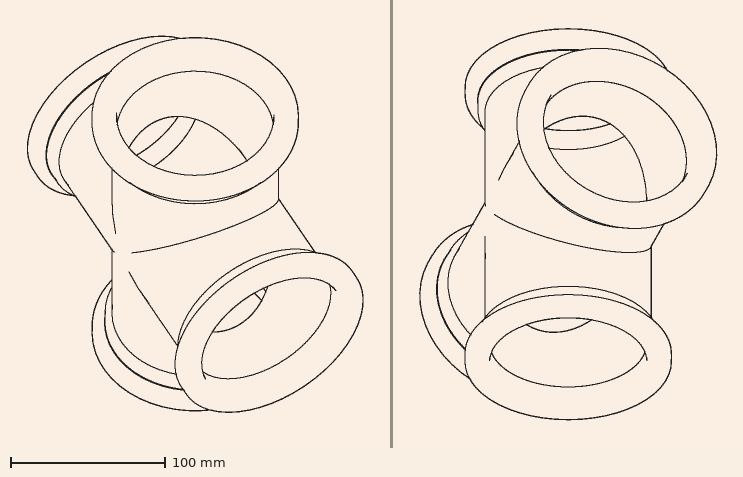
import cadquery as cq
import math

overall_length = 216.0
half_length = overall_length / 2

tube_radius = 108.0 / 2
bore_radius = 102.0 / 2

flange_radius = 134.0 / 2
collar_radius = 117.0 / 2
flange_length = 20.0
socket_depth = 15.1
cone_start_depth = 8.0
cone_angle = 20.0
cone_end_depth = cone_start_depth + (flange_radius - collar_radius) * math.tan(math.radians(cone_angle))
rim_fillet = 2.2
small_fillet = 0.5
edge_tolerance = 0.02

arm_angles = [0, 90, 180, 270]


def make_pipe(radius, length):
    """Cylinder along Z, centred on the origin."""
    return cq.Workplane("XY").circle(radius).extrude(length / 2, both=True)


def make_cross(radius, length):
    """Two equal cylinders crossing at the origin, along Z and X."""
    upright = make_pipe(radius, length)
    return upright.union(upright.rotate((0, 0, 0), (0, 1, 0), 90))


def make_tube_cross():
    """Four-way tube whose ends reach the flange shoulders."""
    tube_length = overall_length - 2 * socket_depth
    return make_cross(tube_radius, tube_length).cut(make_cross(bore_radius, overall_length))


def box_around_ring(radius, height):
    """Selector for every edge at a height that lies within a given radius."""
    return cq.selectors.BoxSelector(
        (-radius, -radius, height - edge_tolerance),
        (radius, radius, height + edge_tolerance),
        boundingbox=True,
    )


def edge_at(radius, height):
    """Selector for the circular edge of a given radius and height."""
    return cq.selectors.SubtractSelector(
        box_around_ring(radius + edge_tolerance, height),
        box_around_ring(radius - edge_tolerance, height),
    )


def make_flange():
    """Clamp flange at the +Z end: rim, conical back, collar and a socket for the tube."""
    face_height = half_length
    rim_corner_height = half_length - cone_start_depth
    cone_foot_height = half_length - cone_end_depth
    shoulder_height = half_length - socket_depth
    collar_end_height = half_length - flange_length
    flange = (
        cq.Workplane("XZ")
        .moveTo(bore_radius, face_height)
        .lineTo(flange_radius, face_height)
        .lineTo(flange_radius, rim_corner_height)
        .lineTo(collar_radius, cone_foot_height)
        .lineTo(collar_radius, collar_end_height)
        .lineTo(tube_radius, collar_end_height)
        .lineTo(tube_radius, shoulder_height)
        .lineTo(bore_radius, shoulder_height)
        .close()
        .revolve(360, (0, 0, 0), (0, 1, 0))
    )
    small_fillet_edges = [
        (flange_radius, face_height),
        (bore_radius, face_height),
        (collar_radius, cone_foot_height),
        (collar_radius, collar_end_height),
    ]
    for radius, height in small_fillet_edges:
        flange = flange.edges(edge_at(radius, height)).fillet(small_fillet)
    return flange.edges(edge_at(flange_radius, rim_corner_height)).fillet(rim_fillet)


tube_cross = make_tube_cross()
end_flange = make_flange()
flanges = [end_flange.rotate((0, 0, 0), (0, 1, 0), angle) for angle in arm_angles]

result = cq.Compound.makeCompound([tube_cross.val(), *[flange.val() for flange in flanges]])